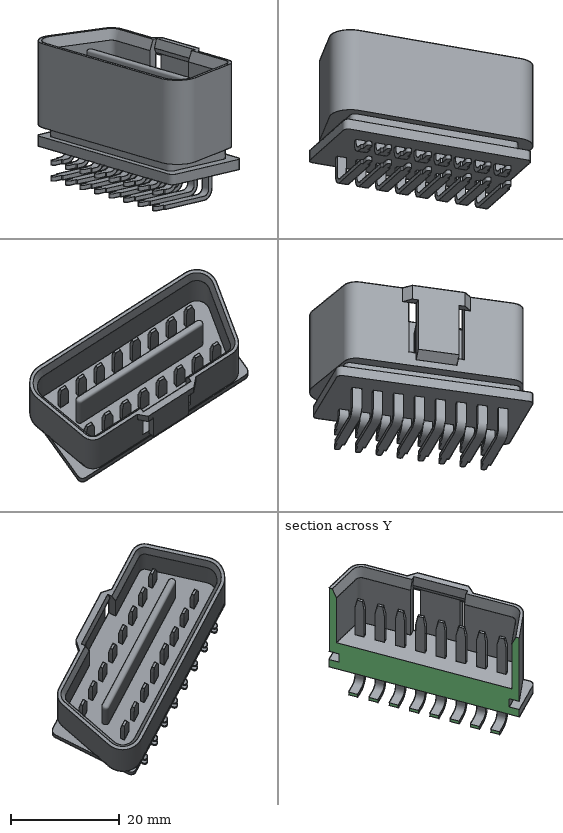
import cadquery as cq
import math


flange_height = 1.97
neck_height = 1.95
shroud_height = 16.0
neck_bottom = flange_height
shroud_bottom = neck_bottom + neck_height
shroud_top = shroud_bottom + shroud_height

shroud_width = 40.25
shroud_depth = 17.9
side_angle = 14.5
front_radius = 3.9
back_radius = 2.6
wall = 1.45
rim = 0.65
lead_in_depth = 2.0
cavity_depth = 13.25
floor_z = shroud_top - cavity_depth

flange_width, flange_front, flange_back = 37.55, 0.35, 17.55
neck_width, neck_front, neck_back = 33.65, 1.7, 15.8
base_corner_radius = 1.0

latch_projection = 1.45
latch_back = shroud_depth + latch_projection
bridge_width = 10.1
bridge_height = 2.9
window_width = 10.6
strap_width = 7.8
catch_rim_offset = 0.2
catch_projection = 0.32
catch_depth = 1.75
catch_return = 0.9

tongue_length = 27.95
tongue_thickness = 1.4
tongue_top = shroud_top - 2.0
tongue_edge_radius = 0.5

pin_count = 8
row_length = 28.0
pin_pitch = row_length / (pin_count - 1)
row_spacing = 8.6
row_middle = 8.98
pin_width = 1.8
pin_thickness = 0.8
pin_top = shroud_top - 4.63
long_pin_top = shroud_top - 3.05
pin_taper_length = 2.0
pin_tip_width = 1.1
pin_tip_thickness = 0.5
bend_inner_radius = 1.2
front_row_drop = 2.7
back_row_drop = 5.7
tail_length = 2.0
tail_width = 1.05
tail_end_radius = 0.5


def shroud_outline_prism(inset, bottom, height):
    """Prism on the rounded trapezoid of the shroud, moved inwards by inset."""
    lean = math.radians(side_angle)
    slope = math.tan(lean)
    arc_centre_x = shroud_width / 2 - front_radius
    side_x_at_front = arc_centre_x + front_radius / math.cos(lean) + front_radius * slope
    inset_side_x = side_x_at_front - inset / math.cos(lean)
    front_y = inset
    back_y = shroud_depth - inset
    front_x = inset_side_x - front_y * slope
    back_x = inset_side_x - back_y * slope
    prism = (
        cq.Workplane("XY", origin=(0, 0, bottom))
        .polyline([(-front_x, front_y), (front_x, front_y), (back_x, back_y), (-back_x, back_y)])
        .close()
        .extrude(height)
    )
    prism = prism.edges("|Z and <Y").fillet(front_radius - inset)
    return prism.edges("|Z and >Y").edges("<X or >X").fillet(back_radius - inset)


def make_shroud():
    """Open-topped trapezoidal shell with a flared mouth."""
    shell = shroud_outline_prism(0, shroud_bottom, shroud_height)
    cavity = shroud_outline_prism(wall, floor_z, cavity_depth)
    return shell.cut(cavity).cut(make_mouth())


def make_mouth():
    """Flare that widens the cavity towards the thin rim."""
    flare_angle = math.degrees(math.atan2(wall - rim, lead_in_depth))
    rim_outline = shroud_outline_prism(rim, shroud_top, lead_in_depth).faces("<Z").wires().val()
    return (
        cq.Workplane("XY", origin=(0, 0, shroud_top))
        .add(rim_outline)
        .toPending()
        .extrude(-lead_in_depth, taper=flare_angle)
    )


def slab(width, front, back, bottom, height):
    """Rectangular plate with rounded vertical corners."""
    return (
        cq.Workplane("XY", origin=(0, (front + back) / 2, bottom))
        .rect(width, back - front)
        .extrude(height)
        .edges("|Z")
        .fillet(base_corner_radius)
    )


def make_window():
    """Opening through the back wall, from the cavity floor up through the rim."""
    return (
        cq.Workplane("XY", origin=(0, shroud_depth - wall / 2, floor_z))
        .rect(window_width, wall)
        .extrude(cavity_depth)
    )


def make_bridge():
    """Bump with 45 degree ends over the top of the window, with a catch ridge on its inside."""
    half_width = bridge_width / 2
    half_base = half_width + latch_projection
    bridge_bottom = shroud_top - bridge_height
    ridge_z = shroud_top - catch_depth
    ridge_y = shroud_depth - catch_projection
    bump = (
        cq.Workplane("XY", origin=(0, 0, bridge_bottom))
        .polyline([
            (-half_base, shroud_depth),
            (half_base, shroud_depth),
            (half_width, latch_back),
            (-half_width, latch_back),
        ])
        .close()
        .extrude(bridge_height)
    )
    ridge = (
        cq.Workplane("YZ", origin=(-window_width / 2, 0, 0))
        .polyline([
            (shroud_depth, shroud_top),
            (ridge_y, shroud_top),
            (ridge_y, ridge_z),
            (shroud_depth, ridge_z - catch_return),
        ])
        .close()
        .extrude(window_width)
    )
    lead_in = (
        cq.Workplane("YZ", origin=(-window_width / 2, 0, 0))
        .polyline([
            (ridge_y, shroud_top),
            (shroud_depth + catch_rim_offset, shroud_top),
            (ridge_y, ridge_z),
        ])
        .close()
        .extrude(window_width)
    )
    return bump.union(ridge).cut(lead_in)


def make_strap():
    """Strap down the outside of the window, with a 45 degree foot on the wall."""
    return (
        cq.Workplane("YZ", origin=(-strap_width / 2, 0, 0))
        .polyline([
            (shroud_depth, shroud_top - bridge_height),
            (latch_back, shroud_top - bridge_height),
            (latch_back, floor_z),
            (shroud_depth, floor_z - latch_projection),
        ])
        .close()
        .extrude(strap_width)
    )


def make_tongue():
    """Round-ended divider between the two pin rows."""
    return (
        cq.Workplane("XY", origin=(0, row_middle, shroud_bottom))
        .slot2D(tongue_length, tongue_thickness)
        .extrude(tongue_top - shroud_bottom)
        .faces(">Z")
        .edges()
        .fillet(tongue_edge_radius)
    )


def make_pin(row_y, drop, top):
    """Pin at X = 0: tapered contact above, bent towards -Y below, narrow tail ending at Y = 0."""
    half = pin_thickness / 2
    taper_bottom = top - pin_taper_length
    bend_outer_radius = bend_inner_radius + pin_thickness
    bend_y = row_y - half - bend_inner_radius
    bend_z = -drop + bend_outer_radius
    diagonal = math.sqrt(0.5)
    blade = (
        cq.Workplane("YZ", origin=(-pin_width / 2, 0, 0))
        .moveTo(row_y + half, taper_bottom)
        .lineTo(row_y + half, bend_z)
        .threePointArc(
            (bend_y + bend_outer_radius * diagonal, bend_z - bend_outer_radius * diagonal),
            (bend_y, -drop),
        )
        .lineTo(tail_length, -drop)
        .lineTo(tail_length, -drop + pin_thickness)
        .lineTo(bend_y, -drop + pin_thickness)
        .threePointArc(
            (bend_y + bend_inner_radius * diagonal, bend_z - bend_inner_radius * diagonal),
            (row_y - half, bend_z),
        )
        .lineTo(row_y - half, taper_bottom)
        .close()
        .extrude(pin_width)
    )
    contact_tip = (
        cq.Workplane("XY", origin=(0, row_y, taper_bottom))
        .rect(pin_width, pin_thickness)
        .workplane(offset=pin_taper_length)
        .rect(pin_tip_width, pin_tip_thickness)
        .loft(ruled=True)
    )
    tail = (
        cq.Workplane("XY", origin=(0, tail_length / 2, -drop))
        .rect(tail_width, tail_length)
        .extrude(pin_thickness)
        .edges("|Z and <Y")
        .fillet(tail_end_radius)
    )
    return blade.union(contact_tip).union(tail)


neck = slab(neck_width, neck_front, neck_back, neck_bottom, neck_height)
flange = slab(flange_width, flange_front, flange_back, 0, flange_height)
result = make_shroud().cut(make_window())
for piece in (neck, flange, make_bridge(), make_strap(), make_tongue()):
    result = result.union(piece)

front_row_y = row_middle - row_spacing / 2
back_row_y = row_middle + row_spacing / 2
front_pin = make_pin(front_row_y, front_row_drop, pin_top)
front_long_pin = make_pin(front_row_y, front_row_drop, long_pin_top)
back_pin = make_pin(back_row_y, back_row_drop, pin_top)
for index in range(pin_count):
    pin_x = (index - (pin_count - 1) / 2) * pin_pitch
    is_middle = abs(pin_x) < pin_pitch
    near_pin = front_long_pin if is_middle else front_pin
    result = result.union(near_pin.translate((pin_x, 0, 0)))
    result = result.union(back_pin.translate((pin_x, 0, 0)))